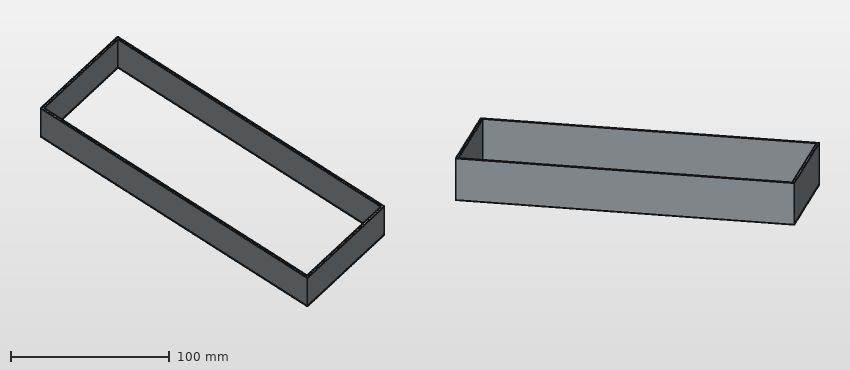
import cadquery as cq

length = 218.0
width = 76.0
height = 28.0
wall = 1.5

outer = cq.Workplane("XY").box(length, width, height)
opening = cq.Workplane("XY").box(length - 2 * wall, width - 2 * wall, height)

result = outer.cut(opening)